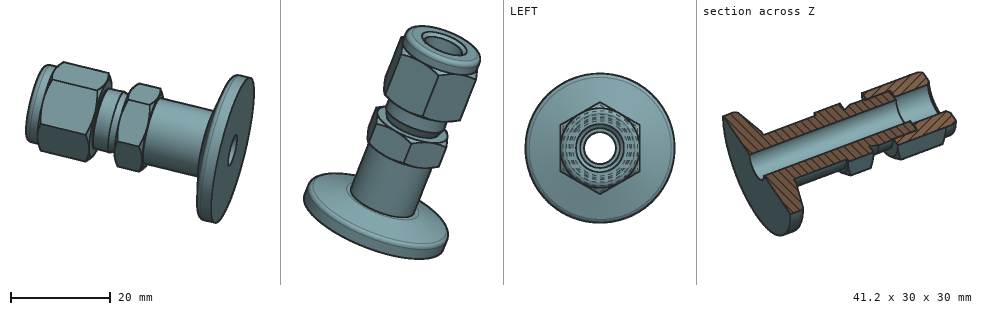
import cadquery as cq
import math

NUT_FRONT = -20.6
NUT_HEX_START = NUT_FRONT + 2.68
NUT_BACK = NUT_FRONT + 13.5
NECK_START = NUT_BACK + 0.25
NECK_TAPER_START = NECK_START + 3.2
BODY_HEX_START = NECK_START + 4.9
BODY_HEX_END = BODY_HEX_START + 5.8
FLANGE_START = 15.6
FLANGE_BACK = 20.6

NUT_HEX_ACROSS_FLATS = 16.0
COLLAR_RADIUS = NUT_HEX_ACROSS_FLATS / 2
COLLAR_FILLET = 1.05
TUBE_BORE_RADIUS = 4.0
MOUTH_RADIUS = 4.8
MOUTH_DEPTH = 0.65
THREAD_RADIUS = 5.95
THREAD_START = NUT_FRONT + 8.25

BODY_HEX_ACROSS_FLATS = 15.0
NECK_START_RADIUS = 6.22
NECK_LARGE_RADIUS = 6.3
NECK_END_RADIUS = 5.52
STEM_RADIUS = 6.8
FLOW_BORE_RADIUS = 3.17

FLANGE_RADIUS = 15.0
FLANGE_HUB_RADIUS = 7.7
FLANGE_ANGLE = 15.0
FLANGE_FILLET = 1.0

HEX_CHAMFER_ANGLE = 30.0


def revolve_profile(points):
    """Revolve a closed outline of (x, radius) points about the X axis."""
    return cq.Workplane("XY").polyline(points).close().revolve(360, (0, 0, 0), (1, 0, 0))


def cylinder(start, end, radius):
    return cq.Workplane("YZ", origin=(start, 0, 0)).circle(radius).extrude(end - start)


def chamfered_hexagon(start, end, across_flats):
    """Hexagonal prism with corners up and down, chamfered conically at both ends."""
    flat_radius = across_flats / 2
    corner_radius = flat_radius / math.cos(math.radians(30))
    chamfer_length = (corner_radius - flat_radius) * math.tan(math.radians(HEX_CHAMFER_ANGLE))
    prism = (
        cq.Workplane("YZ", origin=(start, 0, 0))
        .transformed(rotate=(0, 0, 90))
        .polygon(6, 2 * corner_radius)
        .extrude(end - start)
    )
    envelope = revolve_profile([
        (start, 0),
        (start, flat_radius),
        (start + chamfer_length, corner_radius),
        (end - chamfer_length, corner_radius),
        (end, flat_radius),
        (end, 0),
    ])
    return prism.intersect(envelope)


def make_nut():
    collar = cylinder(NUT_FRONT, NUT_HEX_START, COLLAR_RADIUS).faces("<X").edges().fillet(COLLAR_FILLET)
    hexagon = chamfered_hexagon(NUT_HEX_START, NUT_BACK, NUT_HEX_ACROSS_FLATS)
    cavity = revolve_profile([
        (NUT_FRONT, 0),
        (NUT_FRONT, MOUTH_RADIUS),
        (NUT_FRONT + MOUTH_DEPTH, TUBE_BORE_RADIUS),
        (THREAD_START, TUBE_BORE_RADIUS),
        (THREAD_START, THREAD_RADIUS),
        (NUT_BACK, THREAD_RADIUS),
        (NUT_BACK, 0),
    ])
    return collar.union(hexagon).cut(cavity)


def make_flange():
    """Disc with a conical front face and a rounded front rim."""
    cone_length = (FLANGE_RADIUS - FLANGE_HUB_RADIUS) * math.tan(math.radians(FLANGE_ANGLE))
    rim_start = FLANGE_START + cone_length
    flange = revolve_profile([
        (FLANGE_START, 0),
        (FLANGE_START, FLANGE_HUB_RADIUS),
        (rim_start, FLANGE_RADIUS),
        (FLANGE_BACK, FLANGE_RADIUS),
        (FLANGE_BACK, 0),
    ])
    largest_edges = flange.edges(cq.selectors.RadiusNthSelector(-1))
    return largest_edges.edges("<X").fillet(FLANGE_FILLET)


def make_fitting_body():
    neck = revolve_profile([
        (THREAD_START, 0),
        (THREAD_START, THREAD_RADIUS),
        (NECK_START, THREAD_RADIUS),
        (NECK_START, NECK_START_RADIUS),
        (NECK_TAPER_START, NECK_LARGE_RADIUS),
        (BODY_HEX_START, NECK_END_RADIUS),
        (BODY_HEX_START, 0),
    ])
    hexagon = chamfered_hexagon(BODY_HEX_START, BODY_HEX_END, BODY_HEX_ACROSS_FLATS)
    stem = cylinder(BODY_HEX_END, FLANGE_START, STEM_RADIUS)
    flow_bore = cylinder(THREAD_START, FLANGE_BACK, FLOW_BORE_RADIUS)
    return neck.union(hexagon).union(stem).union(make_flange()).cut(flow_bore)


nut = make_nut()
fitting_body = make_fitting_body()

result = cq.Compound.makeCompound([nut.val(), fitting_body.val()])